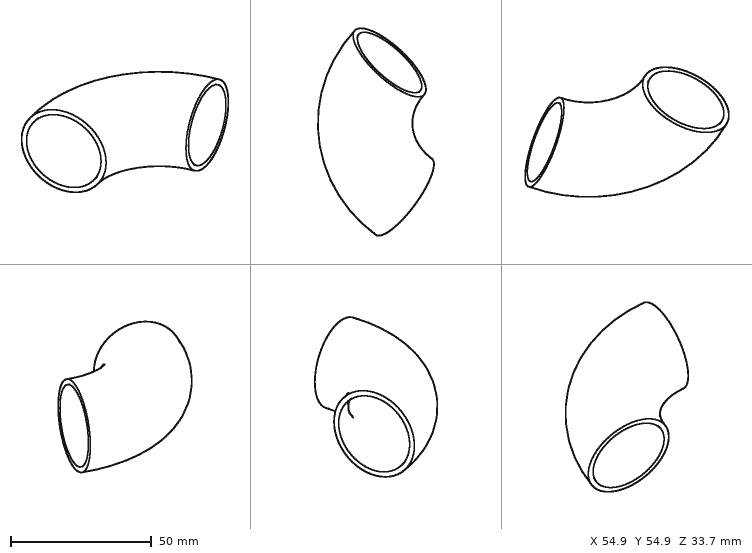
import cadquery as cq

outer_diameter = 33.7
wall_thickness = 2.0
bend_radius = 38.0
bend_angle = 90.0

outer_radius = outer_diameter / 2
inner_radius = outer_radius - wall_thickness


def make_elbow():
    """Revolve the pipe's ring section from the -Y end face round to the +X end face."""
    ring_section = (
        cq.Workplane("XZ")
        .center(-bend_radius, 0)
        .circle(outer_radius)
        .circle(inner_radius)
    )
    return ring_section.revolve(bend_angle, (bend_radius, 0), (bend_radius, -1))


result = make_elbow()